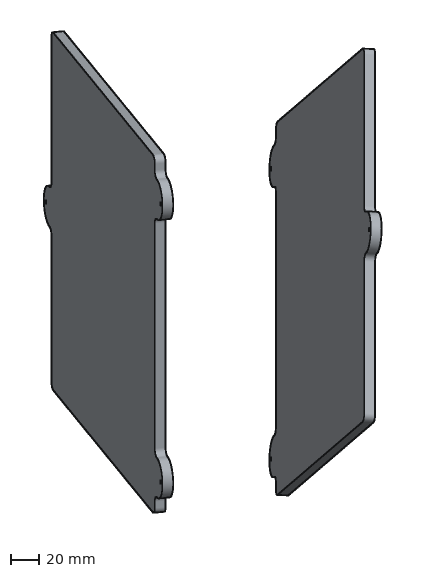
import cadquery as cq

plate_side = 270.0
plate_thickness = 8.0
corner_radius = 5.0

ear_radius = 15.0
ear_reach = 20.0
hole_diameter = 2.53
hole_tip_distance = 5.0
corner_ear_inset = 30.0

half_side = plate_side / 2
ear_center_offset = ear_reach - ear_radius
fillet_radius = ear_center_offset
hole_offset = ear_reach - hole_tip_distance
corner_ear_height = half_side - corner_ear_inset

ears = [
    (-1, 0.0),
    (1, corner_ear_height),
    (1, -corner_ear_height),
]


def make_plate():
    """Square plate with rounded corners."""
    plate = cq.Workplane("XY").box(plate_side, plate_thickness, plate_side)
    return plate.edges("|Y").fillet(corner_radius)


def extrude_through(sketch):
    """Extrude an XZ sketch over the full plate thickness."""
    return sketch.extrude(plate_thickness / 2, both=True)


def make_ear(side, height):
    """Half-round ear joined to the plate edge by a concave fillet above and below."""
    edge_x = side * half_side
    center_x = side * (half_side + ear_center_offset)
    tip_x = side * (half_side + ear_reach)
    root_half_height = ear_radius + fillet_radius
    outline = (
        cq.Workplane("XZ")
        .moveTo(edge_x, height - root_half_height)
        .radiusArc((center_x, height - ear_radius), side * fillet_radius)
        .threePointArc((tip_x, height), (center_x, height + ear_radius))
        .radiusArc((edge_x, height + root_half_height), side * fillet_radius)
        .close()
    )
    return extrude_through(outline)


def make_hole(side, height):
    """Cylinder for the mounting hole near the tip of an ear."""
    center_x = side * (half_side + hole_offset)
    circle = cq.Workplane("XZ").center(center_x, height).circle(hole_diameter / 2)
    return extrude_through(circle)


result = make_plate()
for ear_side, ear_height in ears:
    result = result.union(make_ear(ear_side, ear_height))
    result = result.cut(make_hole(ear_side, ear_height))